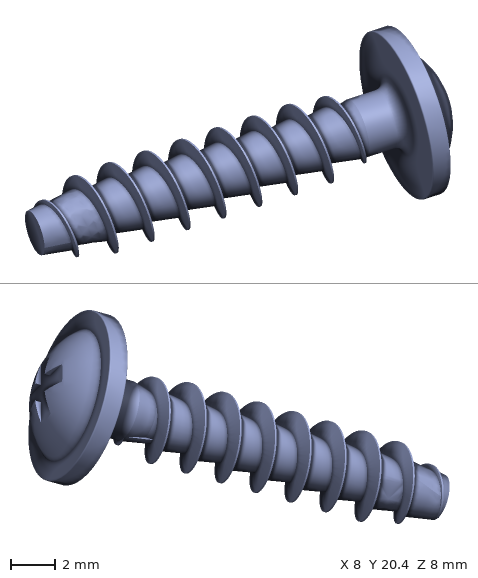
import cadquery as cq
import math


length = 20.4
flange_diameter = 8.0
flange_thickness = 0.92
flange_edge_fillet = 0.06
dome_base_radius = 3.1
dome_rise = 1.5
slot_width = 0.92
slot_depth = 0.3

shank_radius = 1.39
shank_length = 1.95
neck_fillet = 0.55
neck_length = 1.02
core_radius = 1.12
tip_radius = 1.06
tip_slope = 0.15

crest_radius = 2.02
crest_half_width = 0.05
ridge_half_base = 0.3
buried_radius = 1.02
root_radius = 1.37
root_top_gap = 0.2
root_taper_length = 1.51
full_turns = 6.5
full_thread_length = 11.63
pitch = full_thread_length / full_turns
tip_ramp_turns = 1.5
tip_ramp_drop = 0.92
neck_ramp_turns = 1.0
neck_ramp_drop = 0.47
thread_start_height = 0.05
thread_start_angle = 90.0
root_lead_turns = 1.0

flange_top = length - dome_rise
flange_bottom = flange_top - flange_thickness
flange_middle = (flange_top + flange_bottom) / 2
neck_top = flange_bottom - shank_length
core_top = neck_top - neck_length
core_bottom = (core_radius - tip_radius) / tip_slope


def conical_helix(start_radius, end_radius, start_height, turns):
    """Helix of constant axial pitch whose radius changes evenly along its height."""
    rise = turns * pitch
    if start_radius == end_radius:
        helix = cq.Wire.makeHelix(pitch, rise, start_radius)
    else:
        slant = math.atan2(end_radius - start_radius, rise)
        helix = cq.Wire.makeHelix(
            pitch / math.cos(slant), rise / math.cos(slant), start_radius, angle=math.degrees(slant)
        )
    return helix.translate(cq.Vector(0, 0, start_height))


def helical_solid(profile, start_height, start_angle, turns, start_shift=0.0, end_shift=0.0):
    """Wind a (radius, height) polygon around Z, moving it radially from one shift to the other."""
    edges = [
        conical_helix(r + start_shift, r + end_shift, start_height + h, turns).Edges()[0]
        for r, h in profile
    ]
    sides = [
        cq.Face.makeRuledSurface(edge, following)
        for edge, following in zip(edges, edges[1:] + edges[:1])
    ]
    caps = []
    for at_end in (0, 1):
        corners = [edge.positionAt(at_end) for edge in edges]
        caps.append(cq.Face.makeFromWires(cq.Wire.makePolygon(corners, close=True)))
    shell = cq.Shell.makeShell(sides + caps)
    solid = cq.Solid.makeSolid(shell)
    return cq.Workplane(solid.fix()).rotate((0, 0, 0), (0, 0, 1), start_angle)


def revolve_profile(outline):
    """Close an outline and turn it around Z, the vertical axis of the XZ plane."""
    return outline.close().revolve(360, (0, 0, 0), (0, 1, 0))


def make_head():
    flange = (
        cq.Workplane().workplane(offset=flange_bottom)
        .circle(flange_diameter / 2).extrude(flange_thickness)
        .edges().fillet(flange_edge_fillet)
    )
    corner_radius = slot_width / math.sqrt(2)
    centre_offset = (dome_base_radius**2 - corner_radius**2 - dome_rise**2) / (2 * dome_rise)
    sphere_radius = math.hypot(dome_base_radius, centre_offset)
    ball = cq.Workplane().sphere(sphere_radius).translate((0, 0, flange_top - centre_offset))
    above_flange = (
        cq.Workplane().workplane(offset=flange_middle)
        .circle(dome_base_radius).extrude(2 * dome_rise)
    )
    head = flange.union(ball.intersect(above_flange))
    for slot_size in ((flange_diameter, slot_width), (slot_width, flange_diameter)):
        slot = (
            cq.Workplane().workplane(offset=length - slot_depth)
            .rect(*slot_size).extrude(2 * slot_depth)
        )
        head = head.cut(slot)
    return head


def make_shank():
    fillet_middle = neck_fillet * (1 - math.sqrt(0.5))
    outline = (
        cq.Workplane("XZ")
        .lineTo(tip_radius, 0)
        .lineTo(core_radius, core_bottom)
        .lineTo(core_radius, core_top)
        .lineTo(shank_radius, neck_top)
        .lineTo(shank_radius, flange_bottom - neck_fillet)
        .threePointArc(
            (shank_radius + fillet_middle, flange_bottom - fillet_middle),
            (shank_radius + neck_fillet, flange_bottom),
        )
        .lineTo(shank_radius + neck_fillet, flange_middle)
        .lineTo(0, flange_middle)
    )
    return revolve_profile(outline)


def make_tip_envelope():
    """Cone rising from the tip, then a cylinder as wide as the thread crests."""
    cone_top = (crest_radius - tip_radius) / tip_slope
    outline = (
        cq.Workplane("XZ")
        .lineTo(tip_radius, 0)
        .lineTo(crest_radius, cone_top)
        .lineTo(crest_radius, length)
        .lineTo(0, length)
    )
    return revolve_profile(outline)


def make_root():
    """Sawtooth root winding under the ridges, trimmed by the tip cone."""
    taper_end = -root_top_gap - root_taper_length
    profile = [
        (buried_radius, 0),
        (root_radius, 0),
        (root_radius, -root_top_gap),
        (core_radius, taper_end),
        (buried_radius, taper_end),
    ]
    turns = root_lead_turns + tip_ramp_turns + full_turns + neck_ramp_turns
    start_height = thread_start_height - root_lead_turns * pitch
    start_angle = thread_start_angle - 360 * root_lead_turns
    return helical_solid(profile, start_height, start_angle, turns).intersect(make_tip_envelope())


def make_ridges():
    """Thread ridge in three stretches: rising from the tip, full height, falling to the shank."""
    profile = [
        (buried_radius, -ridge_half_base),
        (crest_radius, -crest_half_width),
        (crest_radius, crest_half_width),
        (buried_radius, ridge_half_base),
    ]
    stretches = [
        (tip_ramp_turns, -tip_ramp_drop, 0.0),
        (full_turns, 0.0, 0.0),
        (neck_ramp_turns, 0.0, -neck_ramp_drop),
    ]
    ridges = []
    turns_below = 0.0
    for turns, start_shift, end_shift in stretches:
        height = thread_start_height + turns_below * pitch
        angle = thread_start_angle + 360 * turns_below
        ridges.append(helical_solid(profile, height, angle, turns, start_shift, end_shift))
        turns_below += turns
    return ridges


threaded_zone = cq.Workplane().circle(flange_diameter / 2).extrude(neck_top)
screw = make_shank().union(make_root())
for ridge in make_ridges():
    screw = screw.union(ridge.intersect(threaded_zone))
screw = screw.union(make_head())

result = screw.rotate((0, 0, 0), (1, 0, 0), -90)